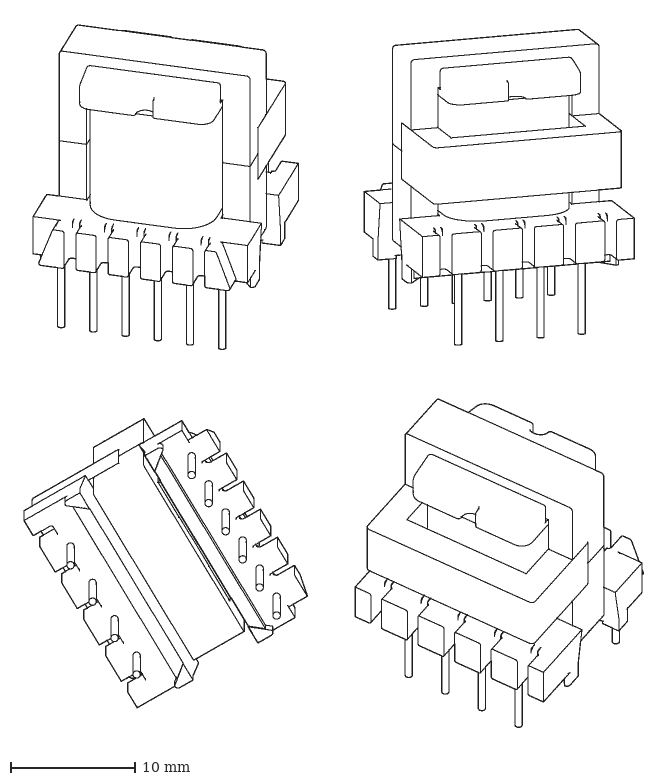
import cadquery as cq


CORE_WIDTH = 16.0
CORE_DEPTH = 4.7
CORE_HALF_HEIGHT = 8.2
CORE_TOP = 18.0
CORE_CORNER_RADIUS = 0.3
WINDOW_WIDTH = 11.4
WINDOW_HALF_HEIGHT = 5.7
CENTRE_LEG_WIDTH = 4.7
PARTING_Z = CORE_TOP - CORE_HALF_HEIGHT

BAND_HEIGHT = 4.7
BAND_BACK_Y = 8.25
BAND_POCKET_Y = 5.67
BAND_CORNER_RADIUS = 0.35

TUBE_WALL = 0.6
TUBE_WIDTH = CENTRE_LEG_WIDTH + 2 * TUBE_WALL
TUBE_DEPTH = CORE_DEPTH + 2 * TUBE_WALL
WINDING_SIZE = 10.5
WINDING_CORNER_RADIUS = 2.75

FLANGE_SIZE = 11.22
FLANGE_BOTTOM = 14.8
FLANGE_TOP = 15.4
FLANGE_CORNER_RADIUS = 1.05
CAP_INNER_Y = 2.4
CAP_INNER_Z = 17.2
CAP_OUTER_Z = 16.3
CAP_INNER_CORNER_RADIUS = 0.3
CAP_EDGE_RADIUS = 0.2
CAP_NOTCH_WIDTH = 1.45
CAP_NOTCH_CENTRE_Y = 5.15
CAP_NOTCH_MOUTH_RADIUS = 0.25

BASE_WIDTH = 18.0
BASE_BOTTOM = 1.45
BASE_TOP = 4.85
FLOOR_THICKNESS = 0.6
BASE_INNER_Y = 2.5
BASE_LIP_HEIGHT = 0.12
BASE_FRONT_Y = 6.5
BASE_EDGE_Y = 8.25
FOOT_INNER_Y = 3.03

COMB_TOP_WIDTH = 13.7
COMB_BOTTOM_WIDTH = 16.2
COMB_EDGE_RADIUS = 0.2

SLOT_COUNT = 5
SLOT_WIDTH = 1.0
SLOT_CORNER_RADIUS = 0.2
SLOT_EDGE_RADIUS = 0.18
SLOT_LEAD_RADIUS = 0.53
SLOT_LEAD_WIDTH = SLOT_WIDTH - 2 * SLOT_CORNER_RADIUS

FOOT_OUTER_Y = 4.57
FOOT_CORNER_RADIUS = 0.32
FOOT_NOSE_X = BASE_WIDTH / 2 - FOOT_CORNER_RADIUS
FOOT_INNER_X = 7.43
RIB_OUTER_Y = 4.13
RIB_BOTTOM = 0.25

PIN_DIAMETER = 0.6
PIN_Y = 6.1
PIN_BOTTOM = -5.0
FRONT_PIN_COUNT = 6
FRONT_PITCH = 2.7
BACK_PIN_COUNT = 4
BACK_PITCH = 3.5

OVERCUT = 1.0


def box(x0, x1, y0, y1, z0, z1):
    return cq.Workplane("XY").box(x1 - x0, y1 - y0, z1 - z0, centered=False).translate((x0, y0, z0))


def centred_box(width, depth, z0, z1):
    return box(-width / 2, width / 2, -depth / 2, depth / 2, z0, z1)


def row(count, pitch):
    return [(i - (count - 1) / 2) * pitch for i in range(count)]


def mirrored_to_back(shape):
    return shape.mirror("XZ")


def make_band():
    """U-shaped band whose two arms end at the middle of the core depth."""
    z0 = PARTING_Z - BAND_HEIGHT / 2
    z1 = PARTING_Z + BAND_HEIGHT / 2
    outer = box(-CORE_WIDTH / 2, CORE_WIDTH / 2, 0, BAND_BACK_Y, z0, z1)
    outer = outer.edges("|Z and >Y").fillet(BAND_CORNER_RADIUS)
    return outer.cut(box(-WINDOW_WIDTH / 2, WINDOW_WIDTH / 2, -OVERCUT, BAND_POCKET_Y, z0, z1))


def make_core_half(band):
    """Upper E half, its outer legs notched for the arms of the band."""
    window_top = PARTING_Z + WINDOW_HALF_HEIGHT
    half = centred_box(CORE_WIDTH, CORE_DEPTH, PARTING_Z, CORE_TOP)
    half = half.edges("|Y and >Z").fillet(CORE_CORNER_RADIUS)
    window = centred_box(WINDOW_WIDTH, CORE_DEPTH, PARTING_Z, window_top)
    window = window.cut(centred_box(CENTRE_LEG_WIDTH, CORE_DEPTH, PARTING_Z, window_top))
    return half.cut(window).cut(band)


def make_winding():
    winding = centred_box(WINDING_SIZE, WINDING_SIZE, BASE_TOP, FLANGE_BOTTOM)
    winding = winding.edges("|Z").fillet(WINDING_CORNER_RADIUS)
    return winding.cut(centred_box(TUBE_WIDTH, TUBE_DEPTH, BASE_TOP, FLANGE_BOTTOM))


def make_cap():
    """Front end of the flange: sloping top, rounded edges and a wire notch."""
    outer_y = FLANGE_SIZE / 2
    profile = [
        (-CAP_INNER_Y, FLANGE_BOTTOM),
        (-CAP_INNER_Y, CAP_INNER_Z),
        (-outer_y, CAP_OUTER_Z),
        (-outer_y, FLANGE_BOTTOM),
    ]
    cap = cq.Workplane("YZ").polyline(profile).close().extrude(FLANGE_SIZE / 2, both=True)
    cap = cap.edges("|Z and <Y").fillet(FLANGE_CORNER_RADIUS)
    cap = cap.edges("|Z and >Y").fillet(CAP_INNER_CORNER_RADIUS)
    cap = cap.cut(make_cap_notch())
    mouth = cq.selectors.BoxSelector(
        (-CAP_NOTCH_WIDTH, -outer_y - CAP_NOTCH_MOUTH_RADIUS, FLANGE_BOTTOM),
        (CAP_NOTCH_WIDTH, -outer_y + CAP_NOTCH_MOUTH_RADIUS, CAP_OUTER_Z),
    )
    cap = cap.edges("|Z").edges(mouth).fillet(CAP_NOTCH_MOUTH_RADIUS)
    return cap.faces(">Z").edges().fillet(CAP_EDGE_RADIUS)


def make_cap_notch():
    r = CAP_NOTCH_WIDTH / 2
    notch = cq.Workplane("XY").circle(r).extrude(CORE_TOP).translate((0, -CAP_NOTCH_CENTRE_Y, 0))
    return notch.union(box(-r, r, -FLANGE_SIZE, -CAP_NOTCH_CENTRE_Y, 0, CORE_TOP))


def make_flange():
    """Square-edged plate through the core window that joins the two caps."""
    depth = 2 * (CAP_INNER_Y + CAP_INNER_CORNER_RADIUS)
    return centred_box(FLANGE_SIZE, depth, FLANGE_BOTTOM, FLANGE_TOP)


def make_tube():
    """Square tube around the centre leg, with the floor that joins the two base blocks."""
    floor_bottom = BASE_TOP - FLOOR_THICKNESS
    floor = centred_box(FLANGE_SIZE, 2 * BASE_INNER_Y, floor_bottom, BASE_TOP)
    return floor.union(centred_box(TUBE_WIDTH, TUBE_DEPTH, BASE_TOP, FLANGE_BOTTOM))


def make_block(outer_y):
    """Front base block, its inner face leaning away from the core."""
    profile = [
        (-BASE_INNER_Y, BASE_TOP),
        (-outer_y, BASE_TOP),
        (-outer_y, BASE_BOTTOM),
        (-FOOT_INNER_Y, BASE_BOTTOM),
        (-BASE_INNER_Y, BASE_TOP - BASE_LIP_HEIGHT),
    ]
    return cq.Workplane("YZ").polyline(profile).close().extrude(BASE_WIDTH / 2, both=True)


def make_comb():
    """Bar along the front block that widens downwards."""
    profile = [
        (-COMB_BOTTOM_WIDTH / 2, BASE_BOTTOM),
        (COMB_BOTTOM_WIDTH / 2, BASE_BOTTOM),
        (COMB_TOP_WIDTH / 2, BASE_TOP),
        (-COMB_TOP_WIDTH / 2, BASE_TOP),
    ]
    comb = cq.Workplane("XZ").polyline(profile).close().extrude(BASE_EDGE_Y - BASE_FRONT_Y)
    return comb.edges("|Y").fillet(COMB_EDGE_RADIUS).translate((0, -BASE_FRONT_Y, 0))


def make_slot_lead(x):
    """Quarter-round cut that leads a wire over the top of a slot's end wall."""
    radius = SLOT_LEAD_RADIUS
    x0 = x - SLOT_LEAD_WIDTH / 2
    x1 = x + SLOT_LEAD_WIDTH / 2
    lead = box(x0, x1, -BASE_FRONT_Y, -BASE_FRONT_Y + radius, BASE_TOP - radius, BASE_TOP)
    keep = cq.Workplane("YZ").circle(radius).extrude(SLOT_LEAD_WIDTH)
    return lead.cut(keep.translate((x0, -BASE_FRONT_Y + radius, BASE_TOP - radius)))


def cut_wire_slots(block, pitch):
    """Cut the slots from the outer edge in to the pin row and round their rims."""
    for x in row(SLOT_COUNT, pitch):
        x0 = x - SLOT_WIDTH / 2
        x1 = x + SLOT_WIDTH / 2
        slot = box(x0, x1, -BASE_EDGE_Y - OVERCUT, -BASE_FRONT_Y, BASE_BOTTOM, BASE_TOP)
        block = block.cut(slot.edges("|Z and >Y").fillet(SLOT_CORNER_RADIUS))
        for z in (BASE_BOTTOM, BASE_TOP):
            margin = SLOT_CORNER_RADIUS / 2
            rim = cq.selectors.BoxSelector(
                (x0 - margin, -BASE_EDGE_Y + margin, z - margin),
                (x1 + margin, -BASE_FRONT_Y + margin, z + margin),
            )
            block = block.edges(rim).fillet(SLOT_EDGE_RADIUS)
        block = block.cut(make_slot_lead(x))
    return block


def make_feet():
    """A foot under each end of the front block and the shallower rib between them."""
    end_x = BASE_WIDTH / 2
    feet = box(-FOOT_NOSE_X, FOOT_NOSE_X, -RIB_OUTER_Y, -FOOT_INNER_Y, RIB_BOTTOM, BASE_BOTTOM)
    for side in (-1, 1):
        foot = (
            cq.Workplane("XY")
            .moveTo(side * end_x, -FOOT_INNER_Y)
            .lineTo(side * end_x, -FOOT_OUTER_Y + FOOT_CORNER_RADIUS)
            .radiusArc((side * FOOT_NOSE_X, -FOOT_OUTER_Y), side * FOOT_CORNER_RADIUS)
            .lineTo(side * FOOT_INNER_X, -FOOT_INNER_Y)
            .close()
            .extrude(BASE_BOTTOM)
        )
        feet = feet.union(foot)
    return feet


def make_pins(count, pitch, y):
    spots = [(x, y) for x in row(count, pitch)]
    pins = cq.Workplane("XY").pushPoints(spots).circle(PIN_DIAMETER / 2).extrude(BASE_BOTTOM - PIN_BOTTOM)
    return pins.translate((0, 0, PIN_BOTTOM))


def make_bobbin():
    front_block = cut_wire_slots(make_block(BASE_FRONT_Y).union(make_comb()), FRONT_PITCH)
    back_block = mirrored_to_back(cut_wire_slots(make_block(BASE_EDGE_Y), BACK_PITCH))
    bobbin = make_tube().union(make_flange()).union(front_block).union(back_block)
    for part in (make_cap(), make_feet()):
        bobbin = bobbin.union(part).union(mirrored_to_back(part))
    bobbin = bobbin.cut(centred_box(CENTRE_LEG_WIDTH, CORE_DEPTH, 0, CORE_TOP))
    bobbin = bobbin.union(make_pins(FRONT_PIN_COUNT, FRONT_PITCH, -PIN_Y))
    return bobbin.union(make_pins(BACK_PIN_COUNT, BACK_PITCH, PIN_Y))


band = make_band()
upper_core = make_core_half(band)
lower_core = upper_core.mirror("XY", (0, 0, PARTING_Z))
winding = make_winding()
bobbin = make_bobbin()

result = cq.Compound.makeCompound(
    [bobbin.val(), winding.val(), upper_core.val(), lower_core.val(), band.val()]
)